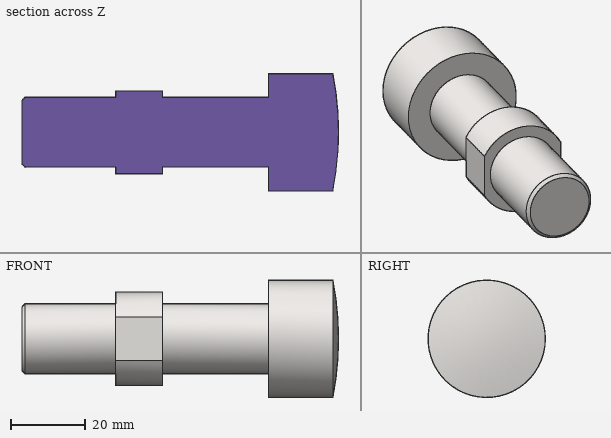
import cadquery as cq

total_length = 85.55
shank_diameter = 19.0
shank_chamfer = 0.85
collar_start = 25.3
collar_width = 12.7
collar_diameter = 25.3
collar_across_flats = 22.4
head_start = 66.6
head_diameter = 31.7
crown_height = 1.5

head_radius = head_diameter / 2
rim_end = total_length - crown_height
crown_radius = (head_radius**2 + crown_height**2) / (2 * crown_height)
crown_mid_radius = head_radius / 2
crown_mid_x = total_length - crown_radius + (crown_radius**2 - crown_mid_radius**2) ** 0.5


def cylinder_along_x(start, length, diameter):
    return cq.Workplane("YZ", origin=(start, 0, 0)).circle(diameter / 2).extrude(length)


def make_shank():
    shank = cylinder_along_x(0, head_start, shank_diameter)
    return shank.faces("<X").chamfer(shank_chamfer)


def make_collar():
    """Round collar with two wrench flats facing -Y and +Y."""
    collar = cylinder_along_x(collar_start, collar_width, collar_diameter)
    flats = (
        cq.Workplane("YZ", origin=(collar_start, 0, 0))
        .rect(collar_across_flats, collar_diameter)
        .extrude(collar_width)
    )
    return collar.intersect(flats)


def make_head():
    """Cylindrical head with a shallow domed end, revolved about X."""
    return (
        cq.Workplane("XY")
        .moveTo(head_start, 0)
        .lineTo(head_start, head_radius)
        .lineTo(rim_end, head_radius)
        .threePointArc((crown_mid_x, crown_mid_radius), (total_length, 0))
        .close()
        .revolve(360, (0, 0, 0), (1, 0, 0))
    )


result = make_shank().union(make_collar()).union(make_head())